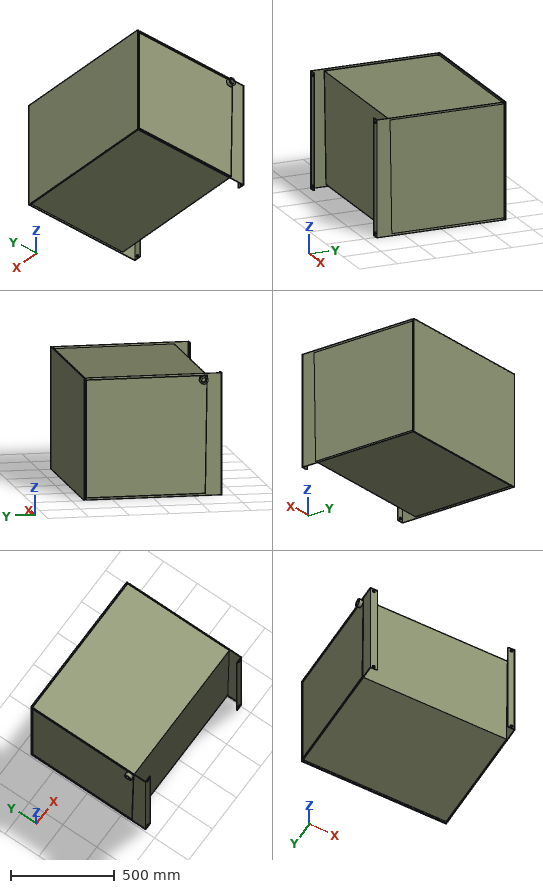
import cadquery as cq

overall_width = 820.0
depth = 679.0
height = 600.0
nozzle_length = 20.0
width = overall_width - nozzle_length

sheet = 3.0
back_thickness = 6.5
lip_width = 40.0
lip_corner_radius = 6.5
hole_diameter = 13.0
hole_inset = 20.0
hole_end_inset = 16.0
gap_width = 3.0
side_corner_radius = 7.0

tank_margin = 10.0
tank_rear_gap = 11.5
tank_front_top = 71.0
tank_front_bottom = 80.0
seam_width = 2.0
seam_depth = 1.0

nozzle_diameter = 40.0
nozzle_bore = 24.0
nozzle_y = 91.0
nozzle_z = height - 29.5

tank_bottom = tank_margin
tank_top = height - tank_margin
tank_back = depth - tank_rear_gap


def make_housing():
    """Back plate and two side panels with inward front lips."""
    outer = cq.Workplane("XY").rect(width, depth, centered=False).extrude(height)
    inner = (
        cq.Workplane("XY")
        .moveTo(sheet, sheet)
        .rect(width - 2 * sheet, depth - sheet - back_thickness, centered=False)
        .extrude(height)
    )
    front_opening = (
        cq.Workplane("XZ")
        .moveTo(lip_width, 0)
        .rect(width - 2 * lip_width, height, centered=False)
        .extrude(-sheet)
    )
    housing = outer.cut(inner).cut(front_opening)
    lip_free_ends = cq.selectors.BoxSelector(
        (lip_width - sheet, -sheet, -sheet),
        (width - lip_width + sheet, 2 * sheet, height + sheet),
    )
    housing = housing.edges(lip_free_ends).edges("|Y").fillet(lip_corner_radius)
    hole_points = [
        (x, z)
        for x in (hole_inset, width - hole_inset)
        for z in (hole_end_inset, height - hole_end_inset)
    ]
    holes = cq.Workplane("XZ").pushPoints(hole_points).circle(hole_diameter / 2).extrude(-sheet)
    return housing.cut(holes)


def make_rear_gap():
    """Full-height gap ahead of the back plate, rounding the rear corners of the side panels."""
    back_plate_y = depth - back_thickness
    side_end_y = back_plate_y - gap_width
    return (
        cq.Workplane("YZ")
        .moveTo(side_end_y - side_corner_radius, height)
        .radiusArc((side_end_y, height - side_corner_radius), side_corner_radius)
        .lineTo(side_end_y, side_corner_radius)
        .radiusArc((side_end_y - side_corner_radius, 0), side_corner_radius)
        .lineTo(back_plate_y, 0)
        .lineTo(back_plate_y, height)
        .close()
        .extrude(width)
    )


def tank_profile(inset):
    """Side outline of the tank with its sloping front, shrunk by an inset."""
    return cq.Workplane("YZ").polyline([
        (tank_front_bottom + inset, tank_bottom + inset),
        (tank_back - inset, tank_bottom + inset),
        (tank_back - inset, tank_top - inset),
        (tank_front_top + inset, tank_top - inset),
    ]).close()


def make_tank_seam():
    """Fine groove in the left panel following the tank outline."""
    outline = tank_profile(0).extrude(seam_depth)
    return outline.cut(tank_profile(seam_width).extrude(seam_depth))


tank = tank_profile(0).extrude(width - 2 * sheet).translate((sheet, 0, 0))
back_joint = (
    cq.Workplane("XY", origin=(sheet, tank_back, tank_bottom))
    .rect(width - 2 * sheet, tank_rear_gap - back_thickness, centered=False)
    .extrude(tank_top - tank_bottom)
)

nozzle = (
    cq.Workplane("YZ", origin=(-nozzle_length, nozzle_y, nozzle_z))
    .circle(nozzle_diameter / 2)
    .circle(nozzle_bore / 2)
    .extrude(nozzle_length)
)

result = make_housing().cut(make_rear_gap()).union(tank).union(back_joint).union(nozzle)
result = result.cut(make_tank_seam())